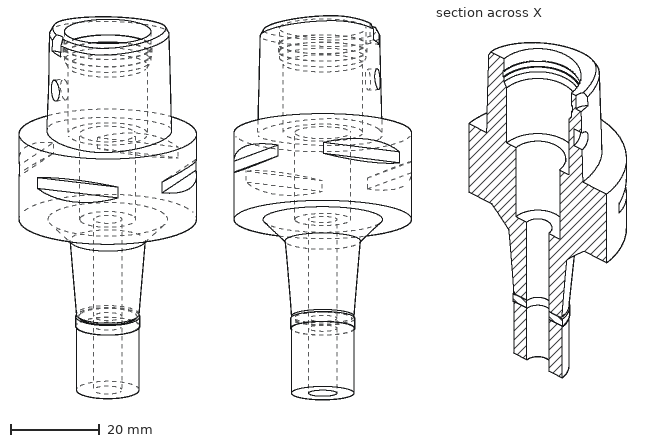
import cadquery as cq
import math

total_length = 84.0
nose_length = 14.95
collar_height = 2.3
neck_bottom_z = nose_length + collar_height
cone_bottom_z = 35.0
flange_bottom_z = 40.0
flange_top_z = 60.0

nose_radius = 7.05
collar_radius = 7.2
coolant_radius = 3.2

neck_bottom_radius = 7.05
neck_top_radius = 8.5
neck_chamfer = 0.5
cone_top_radius = neck_top_radius + flange_bottom_z - cone_bottom_z
flange_radius = 20.0

groove_count = 4
groove_first_angle = 45.0
groove_z = 52.1
groove_floor_distance = 17.4
groove_floor_height = 2.5
groove_mouth_height = 5.2

shank_mean_radius = 14.0
lobe_eccentricity = 0.9
outline_points = 36
taper_per_side = 1 / 40
shank_chamfer_height = 1.35
shank_chamfer_inset = 0.75

bore_radius = 9.75
undercut_radius = 10.0
undercut_top_depth = 3.7
undercut_bottom_depth = 5.4
seat_top_depth = 6.7
seat_bottom_depth = 8.1
inner_bore_radius = 9.0
inner_bore_depth = total_length - flange_top_z
thread_bore_radius = 6.3
thread_bore_bottom_z = flange_bottom_z

notch_radius = 3.0
notch_centre_y = -14.1
notch_depth = 3.9
side_hole_radius = 2.35
side_hole_z = 71.6
side_hole_floor_y = -10.5


def revolved(points):
    """Solid of revolution about Z from (radius, z) points."""
    return cq.Workplane("XZ").polyline(points).close().revolve(360, (0, 0, 0), (0, 1, 0))


def tube(outer_radius, bottom_z, height):
    """Round sleeve with the coolant hole through it."""
    return (
        cq.Workplane("XY", origin=(0, 0, bottom_z))
        .circle(outer_radius)
        .circle(coolant_radius)
        .extrude(height)
    )


def lobed_wire(mean_radius, z):
    """Closed three-lobed outline at height z, with a lobe at +Y and a seam at -Y."""

    def point(turn):
        angle = 2 * math.pi * turn
        along = (
            mean_radius * math.cos(angle)
            - 2 * lobe_eccentricity * math.cos(2 * angle)
            + lobe_eccentricity * math.cos(4 * angle)
        )
        across = (
            mean_radius * math.sin(angle)
            + 2 * lobe_eccentricity * math.sin(2 * angle)
            + lobe_eccentricity * math.sin(4 * angle)
        )
        return cq.Vector(across, -along, z)

    points = [point(index / outline_points) for index in range(outline_points)]
    return cq.Wire.assembleEdges([cq.Edge.makeSpline(points, periodic=True)])


def make_shank():
    """Tapered shank with a chamfered rim, ruled through three lobed outlines."""
    chamfer_z = total_length - shank_chamfer_height
    chamfer_radius = shank_mean_radius - taper_per_side * (chamfer_z - flange_top_z)
    outlines = [
        lobed_wire(shank_mean_radius, flange_top_z),
        lobed_wire(chamfer_radius, chamfer_z),
        lobed_wire(chamfer_radius - shank_chamfer_inset, total_length),
    ]
    return cq.Workplane("XY").newObject([cq.Solid.makeLoft(outlines, True)])


def make_neck_and_flange():
    return revolved([
        (0, neck_bottom_z),
        (neck_bottom_radius - neck_chamfer, neck_bottom_z),
        (neck_bottom_radius, neck_bottom_z + neck_chamfer),
        (neck_top_radius, cone_bottom_z),
        (cone_top_radius, flange_bottom_z),
        (flange_radius, flange_bottom_z),
        (flange_radius, flange_top_z),
        (0, flange_top_z),
    ])


def make_bore_cutter():
    """Stepped bore: coolant hole, thread bore, inner bore, seat, undercut and mouth."""
    inner_floor_z = total_length - inner_bore_depth
    seat_bottom_z = total_length - seat_bottom_depth
    seat_top_z = total_length - seat_top_depth
    undercut_bottom_z = total_length - undercut_bottom_depth
    undercut_top_z = total_length - undercut_top_depth
    return revolved([
        (0, neck_bottom_z),
        (coolant_radius, neck_bottom_z),
        (coolant_radius, thread_bore_bottom_z),
        (thread_bore_radius, thread_bore_bottom_z),
        (thread_bore_radius, inner_floor_z),
        (inner_bore_radius, inner_floor_z),
        (inner_bore_radius, seat_bottom_z),
        (bore_radius, seat_top_z),
        (bore_radius, undercut_bottom_z),
        (undercut_radius, undercut_bottom_z),
        (undercut_radius, undercut_top_z),
        (bore_radius, undercut_top_z),
        (bore_radius, total_length),
        (0, total_length),
    ])


def make_groove_cutter(angle):
    """Trapezoidal bar that cuts one straight groove across the flange rim."""
    floor_half = groove_floor_height / 2
    mouth_half = groove_mouth_height / 2
    return (
        cq.Workplane("XZ")
        .polyline([
            (groove_floor_distance, groove_z - floor_half),
            (flange_radius, groove_z - mouth_half),
            (flange_radius, groove_z + mouth_half),
            (groove_floor_distance, groove_z + floor_half),
        ])
        .close()
        .extrude(flange_radius, both=True)
        .rotate((0, 0, 0), (0, 0, 1), angle)
    )


def make_notch_cutter():
    return (
        cq.Workplane("XY", origin=(0, notch_centre_y, total_length))
        .circle(notch_radius)
        .extrude(-notch_depth)
    )


def make_side_hole_cutter():
    """Blind radial hole, open on the -Y face of the shank."""
    return (
        cq.Workplane("XZ", origin=(0, side_hole_floor_y, side_hole_z))
        .circle(side_hole_radius)
        .extrude(flange_radius + side_hole_floor_y)
    )


def make_holder():
    body = make_neck_and_flange().union(make_shank())
    body = body.cut(make_bore_cutter())
    for index in range(groove_count):
        body = body.cut(make_groove_cutter(groove_first_angle + index * 360 / groove_count))
    return body.cut(make_notch_cutter()).cut(make_side_hole_cutter())


def make_collar():
    return tube(collar_radius, nose_length, collar_height)


def make_nose():
    return tube(nose_radius, 0, nose_length)


holder = make_holder()
collar = make_collar()
nose = make_nose()

result = cq.Compound.makeCompound([holder.val(), collar.val(), nose.val()])